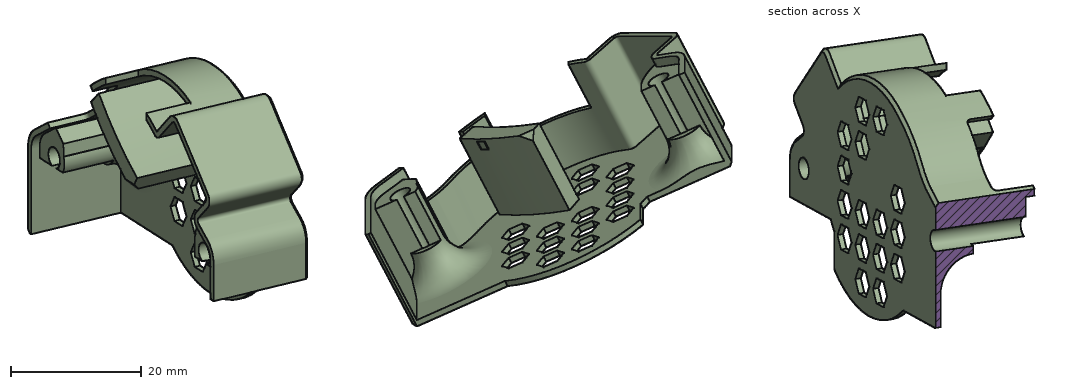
import cadquery as cq
import math

LENGTH = 54.45
HEIGHT = 38.7
DEPTH = 17.15
WALL = 1.0
BACK_CHAMFER = 0.55

LEFT_FOOT = 3.9
RIGHT_FOOT = 12.15
FOOT_CHAMFER = 0.55
SHOULDER_RADIUS = 4.25
SHOULDER_ANGLE = math.radians(33.5)
SHOULDER_START = 18.2
TONGUE_RADIUS = 18.0
TONGUE_RIGHT = 39.1
LUG_RADIUS = 1.65
NECK_RADIUS = 0.65
LUG_TOP_X = 42.75
LUG_SIDE_X = 53.85
LUG_FOOT_X = 37.7
TONGUE_CENTER_X = LENGTH / 2
STEP_TOP = 10.5
STEP_RUN = 1.15
SIDE_OVERRUN = 10.9

HOLE_DIAMETER = 3.4
LEFT_BOSS_DIAMETER = 6.0
RIGHT_BOSS_DIAMETER = 6.25
FLARE = 5.6
BOSS_INSET = 5.2
BOSS_Z = 17.9
BOSS_TOP = 15.6
BOSS_FLAT = 16.35

HEX_FLATS = 4.05
HEX_PITCH_X = 5.95
HEX_PITCH_Z = 5.5
HEX_FIRST_X = 17.8
HEX_FIRST_Z = 4.75
HEX_ROWS = [(1, 2), (0, 1, 2, 3), (0, 1, 2, 3), (0, 3), (2, 3), (1, 2)]

RIB_TOP = 15.1
RIB_TIP_Z = 21.45
TIP_CUT_SIZE = 5.45
NUB_LENGTH = 1.75
NUB_WIDTH = 1.45
NUB_HEIGHT = 0.3
NUB_TOP = 14.65
NUB_CENTER = (18.55, 26.95)

SLANT_FLOOR = 10.35
SLANT_CENTER = (10.35, 28.85)
SLANT_LENGTH = 12.85
SLANT_WIDTH = 6.55
SLANT_RADIUS = 0.8
RELIEF_LEFT = 14.6
RELIEF_BOTTOM = 31.6
ARCH_FLOOR = 9.15
ARCH_LEFT = 19.4
ARCH_RIGHT = 34.6
ARCH_BOTTOM = 33.65


def plane(y=0.0):
    """Sketch plane facing -Y at distance y in front of the back face."""
    return cq.Workplane("XZ", origin=(0, -y, 0))


def box(x0, x1, z0, z1, y0, y1):
    """Block between two corners, with y measured from the back face."""
    return plane(y0).moveTo(x0, z0).lineTo(x1, z0).lineTo(x1, z1).lineTo(x0, z1).close().extrude(y1 - y0)


def shoulder_point(angle):
    """Point of the left shoulder arc at an angle from +X."""
    x = SHOULDER_RADIUS * (1 + math.cos(angle))
    z = SHOULDER_START + SHOULDER_RADIUS * math.sin(angle)
    return x, z


def mirrored(point):
    """The same point on the right half of the cover."""
    return LENGTH - point[0], point[1]


def round_corner(block, corner, radius):
    """Fillet the one edge along Y that stands at the corner (x, z)."""
    x, z = corner
    around = cq.selectors.BoxSelector((x - 0.55, -DEPTH, z - 0.55), (x + 0.55, 0, z + 0.55))
    return block.edges("|Y").edges(around).fillet(radius)


def shell_block():
    """Solid block inside the outer wall faces; its sides run on below the part."""
    arc_end_angle = math.pi / 2 + SHOULDER_ANGLE
    shoulder_end = shoulder_point(arc_end_angle)
    shoulder_mid = shoulder_point((math.pi + arc_end_angle) / 2)
    slope = math.tan(SHOULDER_ANGLE)
    dip_x = 8.05
    dip = (dip_x, shoulder_end[1] + (dip_x - shoulder_end[0]) * slope)

    lug_top_z = HEIGHT + LUG_RADIUS * (math.sqrt(2) - 1)
    lug_top = (LUG_TOP_X, lug_top_z)
    lug_side = (LUG_SIDE_X, lug_top_z - (LUG_SIDE_X - LUG_TOP_X))
    lug_foot = (LUG_FOOT_X, lug_top_z - (LUG_TOP_X - LUG_FOOT_X))

    right_end = mirrored(shoulder_end)
    neck_x = (right_end[1] + slope * right_end[0] - lug_side[1] + lug_side[0]) / (1 + slope)
    neck = (neck_x, right_end[1] + slope * (right_end[0] - neck_x))

    block = (
        plane()
        .moveTo(0, -SIDE_OVERRUN)
        .lineTo(0, SHOULDER_START)
        .threePointArc(shoulder_mid, shoulder_end)
        .lineTo(*dip)
        .threePointArc((9.5, 27.15), (10.65, 28.65))
        .threePointArc((13.7, 32.25), (17.25, 34.95))
        .threePointArc((27.2, 38.05), lug_foot)
        .lineTo(*lug_top)
        .lineTo(*lug_side)
        .lineTo(*neck)
        .lineTo(*right_end)
        .threePointArc(mirrored(shoulder_mid), (LENGTH, SHOULDER_START))
        .lineTo(LENGTH, -SIDE_OVERRUN)
        .close()
        .extrude(DEPTH)
    )
    block = round_corner(block, lug_top, LUG_RADIUS)
    block = round_corner(block, lug_side, LUG_RADIUS)
    return round_corner(block, neck, NECK_RADIUS)


def cavity(block):
    """Space inside the walls, in front of the back plate."""
    rim = block.faces("<Y").wires().vals()
    return plane().add(rim).toPending().offset2D(-WALL).extrude(-(DEPTH - WALL))


def footprint():
    """Region kept by the lower edge: two feet and the round tongue between them."""

    def tongue_half_width(z):
        return math.sqrt(TONGUE_RADIUS**2 - (TONGUE_RADIUS - z) ** 2)

    step_offset = TONGUE_RIGHT - TONGUE_CENTER_X
    tongue_right_z = TONGUE_RADIUS - math.sqrt(TONGUE_RADIUS**2 - step_offset**2)
    return (
        plane()
        .moveTo(0, LEFT_FOOT + FOOT_CHAMFER)
        .lineTo(FOOT_CHAMFER, LEFT_FOOT)
        .lineTo(TONGUE_CENTER_X - tongue_half_width(LEFT_FOOT), LEFT_FOOT)
        .threePointArc((TONGUE_CENTER_X, 0), (TONGUE_RIGHT, tongue_right_z))
        .lineTo(TONGUE_RIGHT, STEP_TOP)
        .lineTo(TONGUE_RIGHT + STEP_RUN, RIGHT_FOOT)
        .lineTo(LENGTH, RIGHT_FOOT)
        .lineTo(LENGTH, HEIGHT)
        .lineTo(0, HEIGHT)
        .close()
        .extrude(DEPTH)
    )


def flared_boss(x, diameter):
    """Round boss that grows out of the plate with a quarter-circle flare."""
    radius = diameter / 2
    mid = FLARE * (1 - math.sqrt(0.5))
    return (
        cq.Workplane("XY")
        .lineTo(radius + FLARE, 0)
        .lineTo(radius + FLARE, -WALL)
        .threePointArc((radius + mid, -WALL - mid), (radius, -WALL - FLARE))
        .lineTo(0, -WALL - FLARE)
        .close()
        .revolve(360, (0, 0, 0), (0, 1, 0))
        .translate((x, 0, BOSS_Z))
    )


def left_column():
    """Round post on the left boss with a web to the wall, cut flat below."""
    post = plane().center(BOSS_INSET, BOSS_Z).circle(LEFT_BOSS_DIAMETER / 2).extrude(BOSS_TOP)
    web = (
        plane()
        .moveTo(0, BOSS_FLAT)
        .lineTo(BOSS_INSET, BOSS_FLAT)
        .lineTo(8.1, 19.15)
        .lineTo(7.9, 21.2)
        .lineTo(5.8, 23.0)
        .lineTo(4.35, HEIGHT)
        .lineTo(0, HEIGHT)
        .close()
        .extrude(BOSS_TOP)
    )
    return post.union(web).intersect(box(0, LENGTH, BOSS_FLAT, HEIGHT, 0, BOSS_TOP))


def right_column():
    """Column on the right boss that fills the corner up to the neck of the lug."""
    column_left = 46.35
    neck_end = (48.9, 24.6)
    return (
        plane()
        .moveTo(LENGTH, BOSS_FLAT)
        .lineTo(column_left, BOSS_FLAT)
        .lineTo(column_left, 19.25)
        .threePointArc((47.15, 21.95), neck_end)
        .lineTo(LENGTH, neck_end[1])
        .close()
        .extrude(BOSS_TOP)
    )


def rib():
    """Curved guide rib with a bevelled lower tip and a small nub on its lower face."""
    body = (
        plane()
        .moveTo(15.1, 30.65)
        .lineTo(17.4, 32.95)
        .threePointArc((22.65, 27.5), (28.65, 22.85))
        .lineTo(27.0, 20.25)
        .threePointArc((20.65, 25.0), (15.1, 30.65))
        .close()
        .extrude(RIB_TOP)
    )
    tip_cut = (
        cq.Workplane("YZ")
        .moveTo(-RIB_TOP, RIB_TIP_Z)
        .lineTo(-RIB_TOP + TIP_CUT_SIZE, RIB_TIP_Z - TIP_CUT_SIZE)
        .lineTo(-RIB_TOP, RIB_TIP_Z - TIP_CUT_SIZE)
        .close()
        .extrude(LENGTH)
    )
    nub = (
        plane(NUB_TOP - NUB_WIDTH)
        .center(*NUB_CENTER)
        .transformed(rotate=(0, 0, -45))
        .rect(NUB_LENGTH, NUB_HEIGHT)
        .extrude(NUB_WIDTH)
    )
    return body.cut(tip_cut).union(nub)


def vent():
    """Hexagonal holes through the plate; each row lists its filled columns."""
    points = [
        (HEX_FIRST_X + column * HEX_PITCH_X, HEX_FIRST_Z + row * HEX_PITCH_Z)
        for row, columns in enumerate(HEX_ROWS)
        for column in columns
    ]
    return plane().pushPoints(points).polygon(6, HEX_FLATS / math.cos(math.pi / 6)).extrude(WALL)


def slanted_opening():
    """Opening in the upper left wall, turned by 45 degrees, with round inner corners."""
    cutter = (
        plane(SLANT_FLOOR)
        .center(*SLANT_CENTER)
        .transformed(rotate=(0, 0, 45))
        .rect(SLANT_LENGTH, SLANT_WIDTH)
        .extrude(DEPTH - SLANT_FLOOR)
    )
    across_wall = cq.selectors.ParallelDirSelector(cq.Vector(1, 0, -1))
    return cutter.faces(">Y").edges(across_wall).fillet(SLANT_RADIUS)


def screw_hole(x):
    return plane().center(x, BOSS_Z).circle(HOLE_DIAMETER / 2).extrude(DEPTH)


block = shell_block()
inside = cavity(block)
tray = block.faces(">Y").edges().chamfer(BACK_CHAMFER).cut(inside)

tray = tray.cut(slanted_opening())
tray = tray.cut(box(RELIEF_LEFT, ARCH_LEFT, RELIEF_BOTTOM, HEIGHT, RIB_TOP, DEPTH))
tray = tray.cut(box(ARCH_LEFT, ARCH_RIGHT, ARCH_BOTTOM, HEIGHT, ARCH_FLOOR, DEPTH))

left_x = BOSS_INSET
right_x = LENGTH - BOSS_INSET
fittings = rib()
fittings = fittings.union(flared_boss(left_x, LEFT_BOSS_DIAMETER)).union(left_column())
fittings = fittings.union(flared_boss(right_x, RIGHT_BOSS_DIAMETER)).union(right_column())
cover = tray.union(fittings.intersect(inside))

cover = cover.cut(vent()).cut(screw_hole(left_x)).cut(screw_hole(right_x))
result = cover.intersect(footprint())